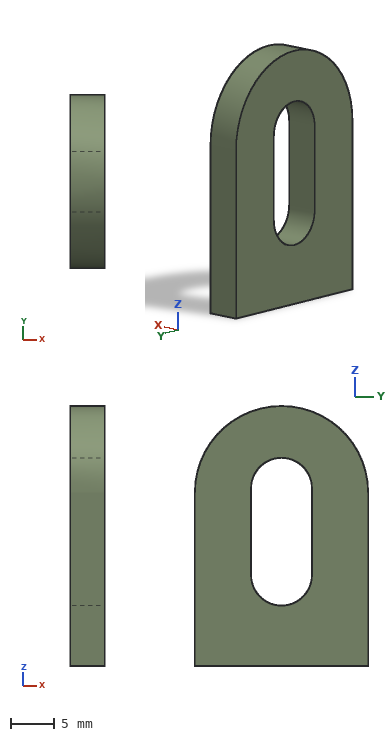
import cadquery as cq

height = 30.0
width = 20.0
thickness = 4.0
slot_width = 7.0
slot_bottom = 7.0
slot_top = 24.0

crown_radius = width / 2
shoulder_height = height - crown_radius
slot_length = slot_top - slot_bottom
slot_center_height = (slot_top + slot_bottom) / 2


def make_plate():
    """Upright plate with a flat base and a full-round crown."""
    return (
        cq.Workplane("YZ")
        .moveTo(-width / 2, 0)
        .lineTo(width / 2, 0)
        .lineTo(width / 2, shoulder_height)
        .threePointArc((0, height), (-width / 2, shoulder_height))
        .close()
        .extrude(thickness)
    )


def make_slot():
    """Vertical round-ended slot running through the full thickness."""
    return (
        cq.Workplane("YZ")
        .center(0, slot_center_height)
        .slot2D(slot_length, slot_width, angle=90)
        .extrude(thickness)
    )


result = make_plate().cut(make_slot())